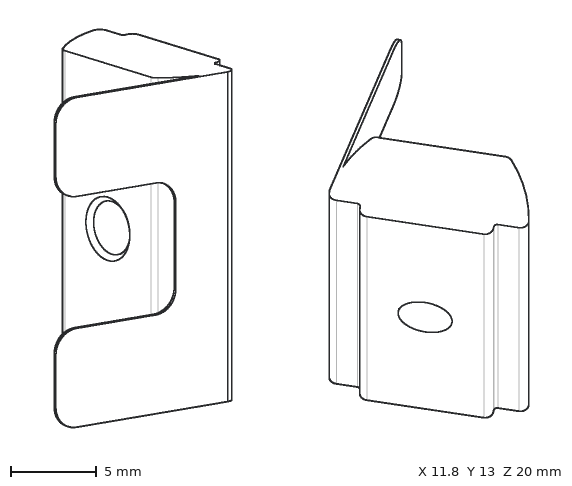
import cadquery as cq
import math

length = 20.0
half_width = 5.92
ledge_y = 4.7
boss_height = 0.8
back_y = ledge_y + boss_height
boss_half_width = 3.95
boss_edge_radius = 0.5
boss_root_radius = 0.2
shoulder_radius = 0.5

flank_top_x = 5.98
flank_mid = (5.28, 2.02)
front_half_width = 4.02
front_edge_radius = 0.5

hole_diameter = 3.2
countersink_diameter = 3.85
countersink_angle = 90.0

plate_lean = 10.0
plate_thickness = 0.2
plate_top_y = 4.1
plate_tip_y = -7.5
tab_width = 6.0
tab_radius = 1.4
notch_root_y = 0.6


def make_body():
    """Nut profile with curved flanks and a raised strip along its back."""
    body = (
        cq.Workplane("XY")
        .moveTo(-front_half_width, 0)
        .lineTo(front_half_width, 0)
        .threePointArc(flank_mid, (flank_top_x, ledge_y))
        .lineTo(boss_half_width, ledge_y)
        .lineTo(boss_half_width, back_y)
        .lineTo(-boss_half_width, back_y)
        .lineTo(-boss_half_width, ledge_y)
        .lineTo(-flank_top_x, ledge_y)
        .threePointArc((-flank_mid[0], flank_mid[1]), (-front_half_width, 0))
        .close()
        .extrude(length)
    )
    rounded_edges = (
        (front_half_width, 0, front_edge_radius),
        (flank_top_x, ledge_y, shoulder_radius),
        (boss_half_width, ledge_y, boss_root_radius),
        (boss_half_width, back_y, boss_edge_radius),
    )
    for x, y, radius in rounded_edges:
        for side in (-1, 1):
            corner = cq.selectors.NearestToPointSelector((side * x, y, length / 2))
            body = body.edges("|Z").edges(corner).fillet(radius)
    return body


def make_plate():
    """U-shaped plate drawn in its own leaning plane, with rounded tabs and notch."""
    lean = math.radians(plate_lean)
    plate_length = (plate_top_y - plate_tip_y) / math.cos(lean)
    notch_root = (plate_top_y - notch_root_y) / math.cos(lean)
    plane = cq.Plane(
        origin=(half_width, plate_top_y, 0),
        xDir=(-math.sin(lean), -math.cos(lean), 0),
        normal=(-math.cos(lean), math.sin(lean), 0),
    )
    plate = (
        cq.Workplane(plane)
        .rect(plate_length, length, centered=False)
        .extrude(plate_thickness)
    )
    notch = (
        cq.Workplane(plane)
        .moveTo(notch_root, tab_width)
        .rect(plate_length - notch_root, length - 2 * tab_width, centered=False)
        .extrude(plate_thickness)
    )
    plate = plate.cut(notch)
    for x, z in (
        (plate_length, 0),
        (plate_length, tab_width),
        (plate_length, length - tab_width),
        (plate_length, length),
        (notch_root, tab_width),
        (notch_root, length - tab_width),
    ):
        corner = plane.toWorldCoords((x, z, plate_thickness / 2))
        nearest = cq.selectors.NearestToPointSelector(corner.toTuple())
        plate = plate.edges(cq.selectors.ParallelDirSelector(plane.zDir)).edges(nearest).fillet(tab_radius)
    return plate


def make_hole():
    """Through hole with a conical countersink at the front face."""
    hole_radius = hole_diameter / 2
    sink_radius = countersink_diameter / 2
    sink_depth = (sink_radius - hole_radius) / math.tan(math.radians(countersink_angle / 2))
    return (
        cq.Workplane("XY")
        .moveTo(0, 0)
        .lineTo(sink_radius, 0)
        .lineTo(hole_radius, sink_depth)
        .lineTo(hole_radius, back_y)
        .lineTo(0, back_y)
        .close()
        .revolve(360, (0, 0, 0), (0, 1, 0))
        .translate((0, 0, length / 2))
    )


result = make_body().union(make_plate()).cut(make_hole())